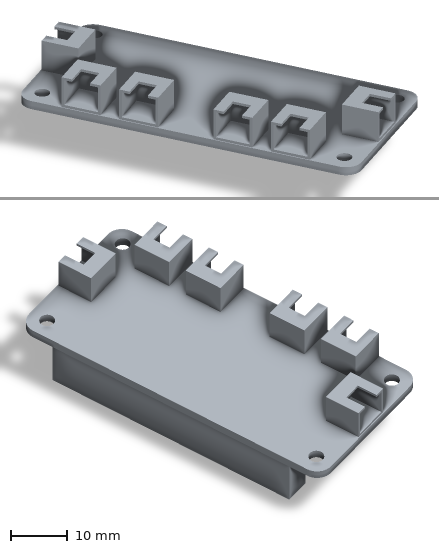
import cadquery as cq

BOARD_LENGTH = 65.0
BOARD_WIDTH = 30.0
BOARD_THICKNESS = 1.6
CORNER_RADIUS = 3.0
HOLE_DIAMETER = 2.8
HOLE_INSET = 3.5

HEADER_LENGTH = 51.0
HEADER_WIDTH = 5.0
HEADER_HEIGHT = 8.5

EDGE_GAP = 0.2

SOCKET_WIDTH = 7.5
SOCKET_DEPTH = 7.0
SOCKET_HEIGHT = 6.0
SOCKET_WALL = 0.5
SLOT_WIDTH = 3.5
SLOT_DEPTH = 4.0

FRONT_SOCKET_INNER_X = 9.05
FRONT_SOCKET_OUTER_X = 20.1
SIDE_SOCKET_Y = -0.4


def make_board():
    """Plate with four corner holes, carrying the header block along its +Y edge."""
    plate = (
        cq.Workplane("XY")
        .box(BOARD_LENGTH, BOARD_WIDTH, BOARD_THICKNESS, centered=(True, True, False))
        .translate((0, 0, -BOARD_THICKNESS))
        .edges("|Z")
        .fillet(CORNER_RADIUS)
        .faces(">Z")
        .workplane()
        .rect(BOARD_LENGTH - 2 * HOLE_INSET, BOARD_WIDTH - 2 * HOLE_INSET, forConstruction=True)
        .vertices()
        .hole(HOLE_DIAMETER)
    )
    header_y = BOARD_WIDTH / 2 - EDGE_GAP - HEADER_WIDTH / 2
    header = (
        cq.Workplane("XY")
        .box(HEADER_LENGTH, HEADER_WIDTH, HEADER_HEIGHT, centered=(True, True, False))
        .translate((0, header_y, -BOARD_THICKNESS - HEADER_HEIGHT))
    )
    return plate.union(header)


def make_socket():
    """Socket standing on Z = 0, its open front in the plane Y = 0 and facing -Y."""
    shell = cq.Workplane("XY").box(
        SOCKET_WIDTH, SOCKET_DEPTH, SOCKET_HEIGHT, centered=(True, False, False)
    )
    cavity_width = SOCKET_WIDTH - 2 * SOCKET_WALL
    cavity_depth = SOCKET_DEPTH - SOCKET_WALL
    cavity_height = SOCKET_HEIGHT - 2 * SOCKET_WALL
    cavity = (
        cq.Workplane("XY")
        .box(cavity_width, cavity_depth, cavity_height, centered=(True, False, False))
        .translate((0, 0, SOCKET_WALL))
    )
    roof_slot = (
        cq.Workplane("XY")
        .box(SLOT_WIDTH, SLOT_DEPTH, SOCKET_HEIGHT - SOCKET_WALL, centered=(True, False, False))
        .translate((0, 0, SOCKET_WALL))
    )
    return shell.cut(cavity).cut(roof_slot)


def place_sockets():
    """Four sockets along the -Y edge and one at each end, all facing outward."""
    front_y = -BOARD_WIDTH / 2 + EDGE_GAP
    end_x = BOARD_LENGTH / 2 - EDGE_GAP
    sockets = []
    for x in (-FRONT_SOCKET_OUTER_X, -FRONT_SOCKET_INNER_X, FRONT_SOCKET_INNER_X, FRONT_SOCKET_OUTER_X):
        sockets.append(make_socket().translate((x, front_y, 0)))
    for side in (-1, 1):
        turned = make_socket().rotate((0, 0, 0), (0, 0, 1), side * 90)
        sockets.append(turned.translate((side * end_x, SIDE_SOCKET_Y, 0)))
    return sockets


board = make_board()
sockets = place_sockets()

result = cq.Compound.makeCompound([board.val(), *[socket.val() for socket in sockets]])